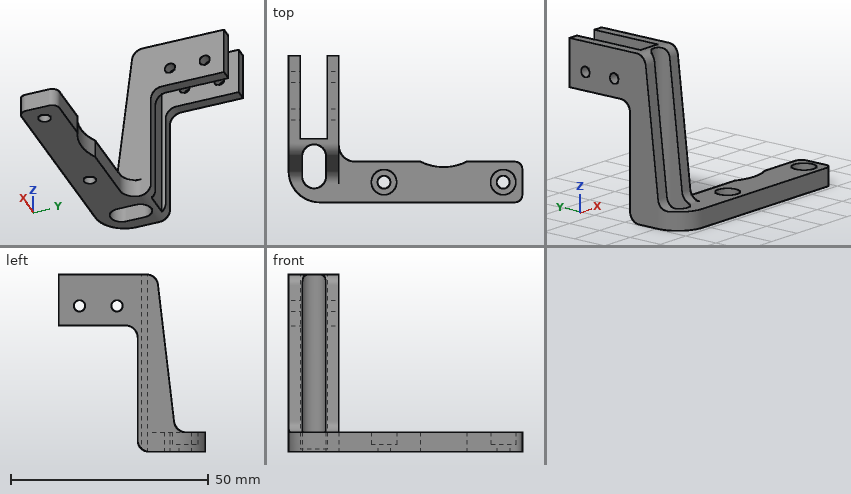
import cadquery as cq

length = 59.3
depth = 37.2
height = 45.0

plate_thickness = 5.0
plate_width = 10.4
outer_corner_radius = 8.0
end_corner_radius = 2.0
inner_corner_radius = 4.0

scallop_x = 39.3
scallop_chord = 11.8
scallop_depth = 1.4

screw_x = (24.2, 54.4)
screw_y = 5.15
screw_diameter = 3.2
counterbore_diameter = 6.4
counterbore_depth = 3.0

column_width = 12.8
column_back_y = 17.2
front_y_at_plate = 7.6
front_y_at_top = 12.3
arm_height = 13.0
profile_radius = 3.0

cheek_thickness = 3.0
fork_bottom_y = 16.2

pin_diameter = 2.8
pin_y = (22.4, 31.9)
pin_z = 37.0

channel_width = 6.0
channel_x = 6.5
channel_front_y = 3.6
channel_back_y = 14.7


def make_plate():
    """Foot plate beside the column, with a concave arc where it meets the column."""
    plate = (
        cq.Workplane("XY")
        .moveTo(column_width, 0)
        .lineTo(length, 0)
        .lineTo(length, plate_width)
        .lineTo(scallop_x + scallop_chord / 2, plate_width)
        .threePointArc(
            (scallop_x, plate_width - scallop_depth),
            (scallop_x - scallop_chord / 2, plate_width),
        )
        .lineTo(column_width + inner_corner_radius, plate_width)
        .radiusArc((column_width, plate_width + inner_corner_radius), inner_corner_radius)
        .close()
        .extrude(plate_thickness)
    )
    return plate.edges("|Z and >X").fillet(end_corner_radius)


def make_column():
    """Side profile of the column, arm and foot, extruded across the column width."""
    profile = (
        cq.Workplane("YZ")
        .moveTo(0, 0)
        .lineTo(column_back_y, 0)
        .lineTo(column_back_y, height - arm_height)
        .lineTo(depth, height - arm_height)
        .lineTo(depth, height)
        .lineTo(front_y_at_top, height)
        .lineTo(front_y_at_plate, plate_thickness)
        .lineTo(0, plate_thickness)
        .close()
        .extrude(column_width)
    )
    rounded_corners = (
        (column_back_y, 0),
        (column_back_y, height - arm_height),
        (front_y_at_top, height),
        (front_y_at_plate, plate_thickness),
    )
    for y, z in rounded_corners:
        corner = cq.selectors.NearestToPointSelector((column_width / 2, y, z))
        profile = profile.edges("|X").edges(corner).fillet(profile_radius)
    return profile


def round_outer_corner(body):
    """Round the vertical corner where the foot turns into the plate."""
    corner = cq.selectors.NearestToPointSelector((0, 0, plate_thickness / 2))
    return body.edges("|Z").edges(corner).fillet(outer_corner_radius)


def cut_fork(body):
    slot = cq.Workplane("XY").box(
        column_width - 2 * cheek_thickness, depth - fork_bottom_y, height, centered=False
    )
    return body.cut(slot.translate((cheek_thickness, fork_bottom_y, 0)))


def cut_channel(body):
    channel = (
        cq.Workplane("XY")
        .center(channel_x, (channel_front_y + channel_back_y) / 2)
        .slot2D(channel_back_y - channel_front_y, channel_width, 90)
        .extrude(height)
    )
    return body.cut(channel)


def cut_screw_holes(body):
    centres = cq.Workplane("XY").pushPoints([(x, screw_y) for x in screw_x])
    shanks = centres.circle(screw_diameter / 2).extrude(plate_thickness)
    heads = centres.circle(counterbore_diameter / 2).extrude(counterbore_depth)
    return body.cut(shanks).cut(heads.translate((0, 0, plate_thickness - counterbore_depth)))


def cut_pin_holes(body):
    pins = (
        cq.Workplane("YZ")
        .pushPoints([(y, pin_z) for y in pin_y])
        .circle(pin_diameter / 2)
        .extrude(column_width)
    )
    return body.cut(pins)


bracket = make_column().union(make_plate())
bracket = cut_fork(bracket)
bracket = round_outer_corner(bracket)
bracket = cut_channel(bracket)
bracket = cut_pin_holes(bracket)
result = cut_screw_holes(bracket)